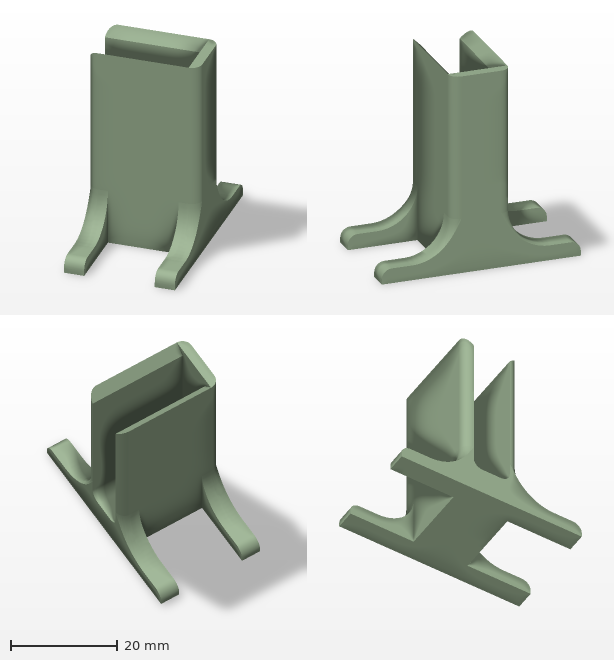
import cadquery as cq

width = 22.0
tower_depth = 12.0
height = 40.0
wall = 2.0
corner_radius = 2.0
floor_height = 6.0
pocket_radius = 2.0

foot_span = 40.0
foot_width = 4.0
foot_height = 3.0
toe_radius = 2.0
blend_radius = 8.0

half_depth = tower_depth / 2
blend_top = foot_height + blend_radius
pocket_half_depth = half_depth - wall


def make_tower():
    block = cq.Workplane("XY").box(width, tower_depth, height, centered=(True, True, False))
    return block.edges("|Z").fillet(corner_radius)


def make_foot_bar(center_x):
    bar = cq.Workplane("XY").box(foot_width, foot_span, foot_height, centered=(True, True, False))
    return bar.edges("|X and >Z").fillet(toe_radius).translate((center_x, 0, 0))


def blend_profile(plane, start):
    """Area under a concave quarter arc, rising to a wall at the given distance."""
    middle = blend_radius * (1 - 0.5**0.5)
    return (
        cq.Workplane(plane)
        .lineTo(start + blend_radius, 0)
        .lineTo(start + blend_radius, foot_height)
        .threePointArc((start + middle, foot_height + middle), (start, blend_top))
        .lineTo(0, blend_top)
        .close()
    )


def make_foot_blend(side_x, side_y):
    """Blend from foot to tower: straight along the flat wall, swept round the corner."""
    axis_x = side_x * (width / 2 - corner_radius)
    axis_y = side_y * (half_depth - corner_radius)
    inner_width = foot_width - corner_radius

    straight = blend_profile("YZ", half_depth).extrude(inner_width)
    if side_y < 0:
        straight = straight.mirror("XZ")
    straight = straight.translate((axis_x - (inner_width if side_x > 0 else 0), 0, 0))

    swept = blend_profile("XZ", corner_radius).revolve(360, (0, 0), (0, 1))
    corner_reach = corner_radius + blend_radius
    trim = (
        cq.Workplane("XY")
        .box(corner_radius, corner_reach, blend_top, centered=(True, False, False))
        .translate((side_x * corner_radius / 2, 0 if side_y > 0 else -corner_reach, 0))
    )
    return straight.union(swept.intersect(trim).translate((axis_x, axis_y, 0)))


def make_pocket():
    """Pocket open through the -X side, with rounded floor edges."""
    pocket = (
        cq.Workplane("XY")
        .box(width, 2 * pocket_half_depth, height, centered=(True, True, False))
        .translate((-wall, 0, floor_height))
    )
    return pocket.faces("<Z").edges("not <X").fillet(pocket_radius)


def make_lead_in():
    """Wedge that slopes the tops of both side walls down into the pocket."""
    return (
        cq.Workplane("YZ")
        .moveTo(-half_depth, height)
        .lineTo(half_depth, height)
        .lineTo(pocket_half_depth, height - wall)
        .lineTo(-pocket_half_depth, height - wall)
        .close()
        .extrude(width - wall)
        .translate((-width / 2, 0, 0))
    )


result = make_tower()
for side_x in (-1, 1):
    result = result.union(make_foot_bar(side_x * (width - foot_width) / 2))
    for side_y in (-1, 1):
        result = result.union(make_foot_blend(side_x, side_y))
result = result.cut(make_pocket()).cut(make_lead_in())